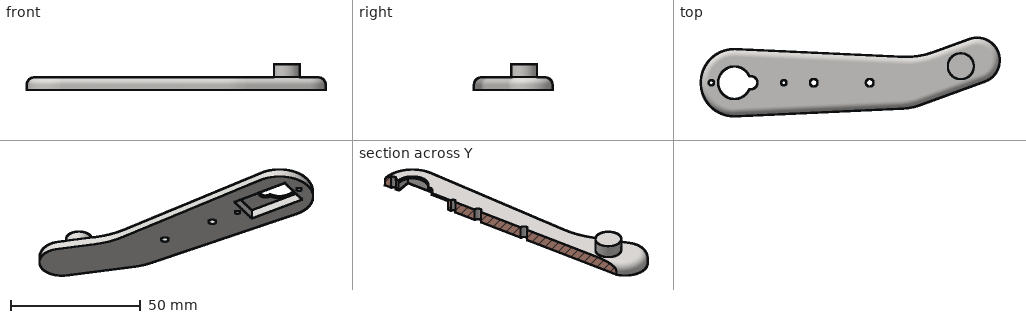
import cadquery as cq
import math

overall_length = 115.5
overall_width = 30.5
thickness = 5.0
total_height = 10.0
edge_round = 3.0

wide_end_radius = 13.0
bend_start_x = 65.0
bend_half_width = 10.0
tip_radius = 8.8
tip_x = overall_length - wide_end_radius - tip_radius
tip_y = overall_width - wide_end_radius - tip_radius
tip_angle = math.radians(20)

keyhole_diameter = 12.5
keyhole_notch_diameter = 5.0
keyhole_notch_x = 6.3

small_hole_diameter = 2.0
small_hole_positions = [-8.9, 19.0]
large_hole_diameter = 2.9
large_hole_positions = [30.6, 52.2]

pocket_length = 23.0
pocket_width = 12.6
pocket_roof = 1.0
pocket_depth = thickness - pocket_roof
pocket_center_x = sum(small_hole_positions) / len(small_hole_positions)

pin_diameter = 10.0
pin_setback = 6.7


def tip_point(angle):
    """Point on the rounded tip, at an angle measured from the tip direction."""
    direction = tip_angle + angle
    return (
        tip_x + tip_radius * math.cos(direction),
        tip_y + tip_radius * math.sin(direction),
    )


def bend_corner(side, tip_tangent):
    """Where a tapered side (+1 upper, -1 lower) meets the matching side of the bent tip."""
    taper_slope = side * (bend_half_width - wide_end_radius) / bend_start_x
    tip_slope = math.tan(tip_angle)
    tangent_x, tangent_y = tip_tangent
    start_y = side * wide_end_radius
    corner_x = (tangent_y - start_y - tip_slope * tangent_x) / (taper_slope - tip_slope)
    return corner_x, start_y + taper_slope * corner_x


def bend_end(side, tip_tangent):
    """End of the bend arc, as far past the corner as the bend start is before it."""
    corner_x, corner_y = bend_corner(side, tip_tangent)
    bend_start_y = side * bend_half_width
    tangent_length = math.hypot(corner_x - bend_start_x, corner_y - bend_start_y)
    return (
        corner_x + tangent_length * math.cos(tip_angle),
        corner_y + tangent_length * math.sin(tip_angle),
    )


def lever_plate():
    """Tapered plate with a bent, round tip and a rounded top edge."""
    upper_tangent = tip_point(math.pi / 2)
    lower_tangent = tip_point(-math.pi / 2)
    lower_side = (
        cq.Workplane("XY")
        .moveTo(0, wide_end_radius)
        .threePointArc((-wide_end_radius, 0), (0, -wide_end_radius))
        .lineTo(bend_start_x, -bend_half_width)
        .tangentArcPoint(bend_end(-1, lower_tangent), relative=False)
    )
    outline = (
        lower_side
        .lineTo(*lower_tangent)
        .threePointArc(tip_point(0), upper_tangent)
        .lineTo(*bend_end(1, upper_tangent))
        .tangentArcPoint((bend_start_x, bend_half_width), relative=False)
        .close()
    )
    return outline.extrude(thickness).faces(">Z").edges().fillet(edge_round)


def through_holes(diameter, positions):
    """Round cutters through the plate, centred on the X axis."""
    return (
        cq.Workplane("XY")
        .pushPoints([(x, 0) for x in positions])
        .circle(diameter / 2)
        .extrude(thickness)
    )


def underside_pocket():
    """Rectangular cutter from the bottom face, leaving a thin roof around the keyhole."""
    return (
        cq.Workplane("XY")
        .center(pocket_center_x, 0)
        .rect(pocket_length, pocket_width)
        .extrude(pocket_depth)
    )


def pin():
    """Round pin, set back from the tip centre along the bent arm."""
    return (
        cq.Workplane("XY")
        .center(
            tip_x - pin_setback * math.cos(tip_angle),
            tip_y - pin_setback * math.sin(tip_angle),
        )
        .circle(pin_diameter / 2)
        .extrude(total_height)
    )


result = (
    lever_plate()
    .cut(through_holes(keyhole_diameter, [0]))
    .cut(through_holes(keyhole_notch_diameter, [keyhole_notch_x]))
    .cut(through_holes(small_hole_diameter, small_hole_positions))
    .cut(through_holes(large_hole_diameter, large_hole_positions))
    .cut(underside_pocket())
    .union(pin())
)